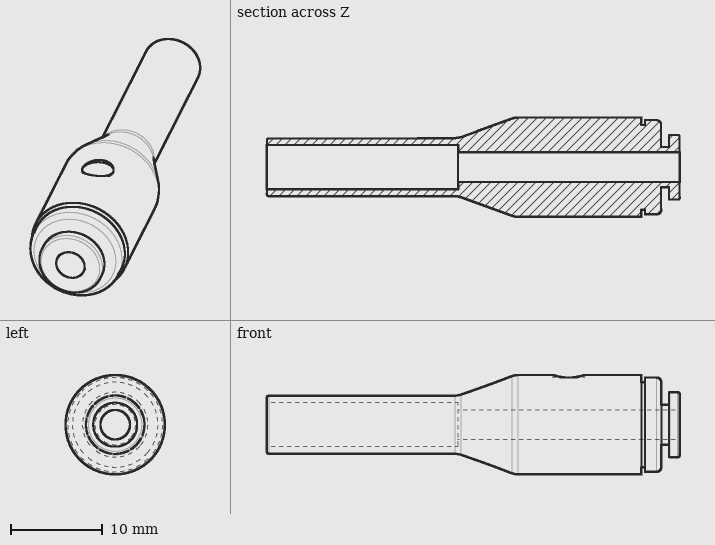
import cadquery as cq
import math


stem_radius = 3.175
stem_length = 20.85
stem_tip_round = 0.27

body_radius = 5.425
body_end = 40.8
cone_angle = 20.0
cone_blend = 2.0

groove_radius = 4.65
groove_width = 0.4
collar_radius = 5.15
collar_end = 43.0
collar_round = 0.55

neck_radius = 2.2
neck_length = 0.8
button_radius = 3.55
button_end = 45.0
button_front_round = 0.25
button_back_round = 0.15

stem_bore_radius = 2.4
stem_bore_depth = stem_length
through_radius = 1.6

recess_radius = 1.725
recess_depth = 0.3
recess_x = 32.9

cone_end = stem_length + (body_radius - stem_radius) / math.tan(math.radians(cone_angle))
collar_start = body_end + groove_width
button_start = collar_end + neck_length


def outer_shape():
    """Sharp-edged outside of the part, revolved about X from a profile on the -Y side."""
    outline = [
        (0, 0),
        (0, -stem_radius),
        (stem_length, -stem_radius),
        (cone_end, -body_radius),
        (body_end, -body_radius),
        (body_end, -groove_radius),
        (collar_start, -groove_radius),
        (collar_start, -collar_radius),
        (collar_end, -collar_radius),
        (collar_end, -neck_radius),
        (button_start, -neck_radius),
        (button_start, -button_radius),
        (button_end, -button_radius),
        (button_end, 0),
    ]
    return cq.Workplane("XY").polyline(outline).close().revolve(360, (0, 0, 0), (1, 0, 0))


def round_edge(part, x, edge_radius, fillet_radius):
    """Fillet the circular edge of the given radius that lies at position x."""
    tolerance = 1e-3

    def is_wanted(edge):
        if edge.geomType() != "CIRCLE":
            return False
        return abs(edge.Center().x - x) < tolerance and abs(edge.radius() - edge_radius) < tolerance

    return part.edges().filter(is_wanted).fillet(fillet_radius)


def bore(depth, radius):
    """Cylinder along X, running inward from the stem tip."""
    return cq.Workplane("YZ").circle(radius).extrude(depth)


def marking_recess():
    """Flat-bottomed round pocket cut down into the top of the body."""
    floor = body_radius - recess_depth
    return (
        cq.Workplane("XY", origin=(recess_x, 0, floor))
        .circle(recess_radius)
        .extrude(body_radius)
    )


rounds = [
    (0, stem_radius, stem_tip_round),
    (stem_length, stem_radius, cone_blend),
    (cone_end, body_radius, cone_blend),
    (collar_end, collar_radius, collar_round),
    (button_start, button_radius, button_back_round),
    (button_end, button_radius, button_front_round),
]

result = outer_shape()
for x, edge_radius, fillet_radius in rounds:
    result = round_edge(result, x, edge_radius, fillet_radius)

result = result.cut(bore(stem_bore_depth, stem_bore_radius))
result = result.cut(bore(button_end, through_radius))
result = result.cut(marking_recess())